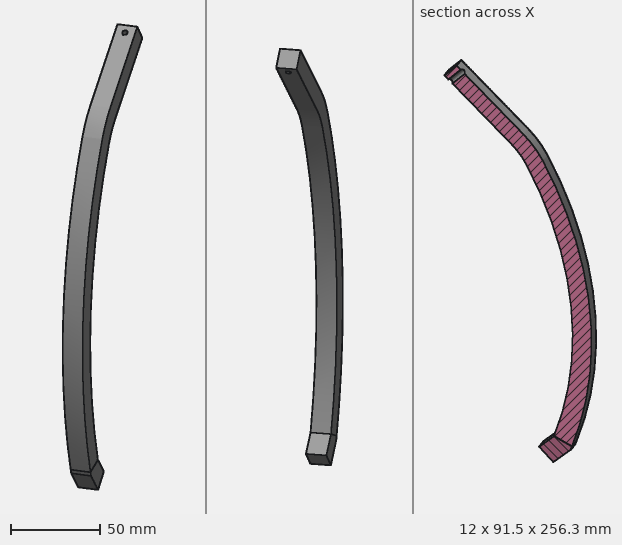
import cadquery as cq
import math

strip_width = 12.0
strip_thickness = 12.0

arc_outer_radius = 240.2
arc_top_angle = 29.1
arc_bottom_angle = 18.4

bend_outer_radius = 52.5
handle_slope = 40.0
handle_length = 54.0

foot_slope = 47.8
foot_length = 13.5

hole_diameter = 3.0
hole_end_distance = 4.9

arc_inner_radius = arc_outer_radius - strip_thickness
bend_inner_radius = bend_outer_radius - strip_thickness
handle_normal_angle = 90.0 - handle_slope
bend_middle_angle = (arc_top_angle + handle_normal_angle) / 2


def polar(radius, angle, center=(0.0, 0.0)):
    """Point (Y, Z) at an angle measured upwards from the -Y direction."""
    a = math.radians(angle)
    return (center[0] - radius * math.cos(a), center[1] + radius * math.sin(a))


bend_center = polar(arc_outer_radius - bend_outer_radius, arc_top_angle)


def bend_point(radius, angle):
    return polar(radius, angle, bend_center)


def handle_end(radius):
    """Free end of the handle side that leaves the bend at this radius."""
    start = bend_point(radius, handle_normal_angle)
    return polar(handle_length, handle_normal_angle + 90, start)


def extrude_strip(outline):
    """Extrude a closed YZ outline symmetrically about X = 0."""
    return outline.close().extrude(strip_width / 2, both=True)


def make_arm():
    arc_middle_angle = (arc_top_angle - arc_bottom_angle) / 2
    outline = (
        cq.Workplane("YZ")
        .moveTo(*polar(arc_outer_radius, -arc_bottom_angle))
        .threePointArc(
            polar(arc_outer_radius, arc_middle_angle),
            polar(arc_outer_radius, arc_top_angle),
        )
        .threePointArc(
            bend_point(bend_outer_radius, bend_middle_angle),
            bend_point(bend_outer_radius, handle_normal_angle),
        )
        .lineTo(*handle_end(bend_outer_radius))
        .lineTo(*handle_end(bend_inner_radius))
        .lineTo(*bend_point(bend_inner_radius, handle_normal_angle))
        .threePointArc(
            bend_point(bend_inner_radius, bend_middle_angle),
            polar(arc_inner_radius, arc_top_angle),
        )
        .threePointArc(
            polar(arc_inner_radius, arc_middle_angle),
            polar(arc_inner_radius, -arc_bottom_angle),
        )
    )
    return extrude_strip(outline).cut(make_hole_tool())


def make_hole_tool():
    """Cylinder through the handle, square to its outer face."""
    y, z = polar(hole_end_distance, handle_normal_angle - 90, handle_end(bend_outer_radius))
    inward_y, inward_z = polar(1.0, handle_normal_angle + 180)
    return cq.Workplane(
        cq.Solid.makeCylinder(
            hole_diameter / 2,
            strip_thickness,
            cq.Vector(0, y, z),
            cq.Vector(0, inward_y, inward_z),
        )
    )


def make_foot():
    """Mitred elbow and square-ended foot, seated on the lower end of the arc."""
    foot_normal_angle = foot_slope - 90.0
    turn = -arc_bottom_angle - foot_normal_angle
    miter_length = strip_thickness * math.tan(math.radians(turn / 2))

    inner_corner = polar(arc_inner_radius, -arc_bottom_angle)
    outer_seat = polar(arc_outer_radius, -arc_bottom_angle)
    outer_corner = polar(miter_length, -arc_bottom_angle - 90, outer_seat)
    inner_end = polar(foot_length, foot_normal_angle - 90, inner_corner)
    outer_end = polar(strip_thickness, foot_normal_angle, inner_end)

    outline = cq.Workplane("YZ").polyline(
        [inner_corner, outer_seat, outer_corner, outer_end, inner_end]
    )
    return extrude_strip(outline)


arm = make_arm()
foot = make_foot()

result = cq.Compound.makeCompound([arm.val(), foot.val()])